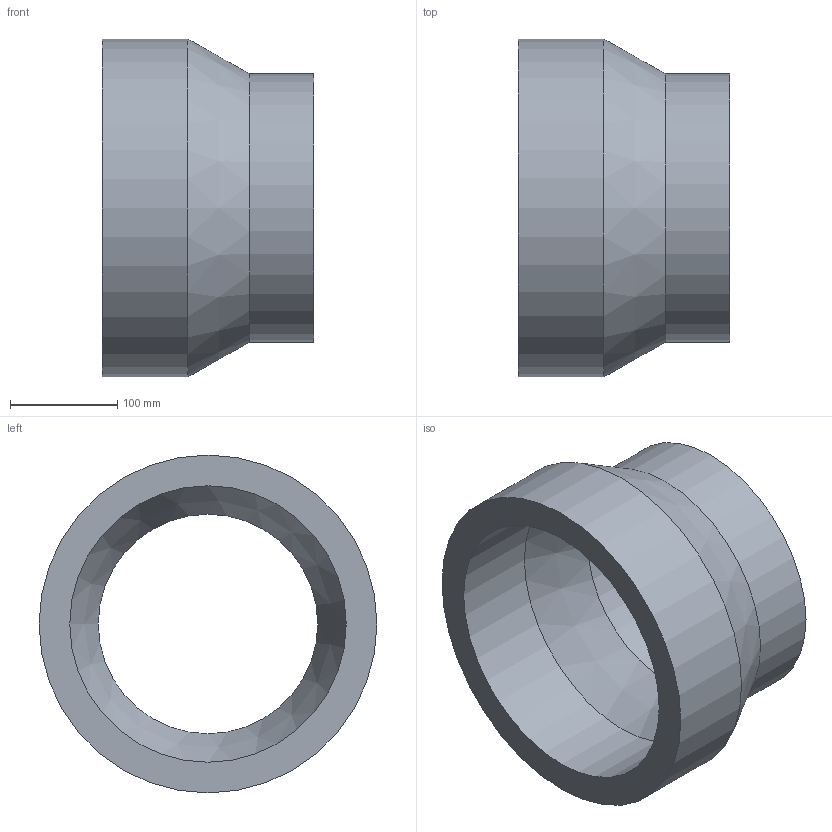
import cadquery as cq

total_length = 197.5
large_spigot_length = 80.0
small_spigot_length = 60.0

large_outer_diameter = 315.0
large_bore_diameter = 257.8
small_outer_diameter = 250.0
small_bore_diameter = 204.6

cone_start = large_spigot_length
cone_end = total_length - small_spigot_length


def stepped_body(large_diameter, small_diameter):
    """Solid of revolution: large cylinder, cone, then small cylinder along X."""
    large_radius = large_diameter / 2
    small_radius = small_diameter / 2
    return (
        cq.Workplane("XY")
        .moveTo(0, 0)
        .lineTo(0, large_radius)
        .lineTo(cone_start, large_radius)
        .lineTo(cone_end, small_radius)
        .lineTo(total_length, small_radius)
        .lineTo(total_length, 0)
        .close()
        .revolve(360, (0, 0, 0), (1, 0, 0))
    )


outer_body = stepped_body(large_outer_diameter, small_outer_diameter)
bore = stepped_body(large_bore_diameter, small_bore_diameter)

result = outer_body.cut(bore)